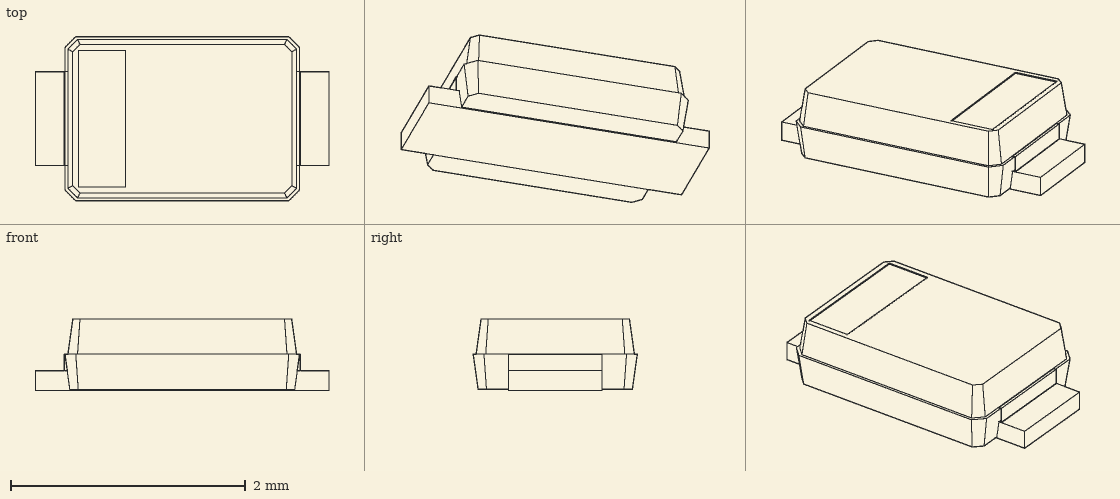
import cadquery as cq
import math

total_length = 2.5
total_height = 0.61

housing_length = 2.0
housing_width = 1.4
standoff = 0.01
parting_z = (standoff + total_height) / 2
half_height = total_height - parting_z
draft_angle = 8.0
draft_inset = half_height * math.tan(math.radians(draft_angle))
ledge = 0.025
lower_corner = 0.093
upper_corner = 0.083
corner_shrink = draft_inset / 2

mark_margin = 0.05
mark_length = 0.4
mark_depth = 0.01
top_length = housing_length - 2 * (ledge + draft_inset)
top_width = housing_width - 2 * (ledge + draft_inset)

lead_width = 0.8
bar_height = 0.17
strap_gap = 0.0025
strap_thickness = 0.005
strap_bend_radius = 0.0075
strap_outer_x = housing_length / 2 + strap_gap + strap_thickness
strap_end_x = housing_length / 2 - ledge


def cut_corner_outline(length, width, corner):
    """Points of a rectangle about the origin with its four corners cut at 45 degrees."""
    x = length / 2
    y = width / 2
    return [
        (x - corner, -y), (x, corner - y), (x, y - corner), (x - corner, y),
        (corner - x, y), (-x, y - corner), (-x, corner - y), (corner - x, -y),
    ]


def drafted_half(length, width, corner, height):
    """Block on the parting plane that narrows away from it; a negative height goes down."""
    base = cut_corner_outline(length, width, corner)
    end = cut_corner_outline(length - 2 * draft_inset, width - 2 * draft_inset, corner - corner_shrink)
    return (
        cq.Workplane("XY", origin=(0, 0, parting_z))
        .polyline(base).close()
        .workplane(offset=height)
        .polyline(end).close()
        .loft(ruled=True)
    )


def mark_recess():
    return cq.Workplane("XY").box(
        mark_length, top_width - 2 * mark_margin, mark_depth, centered=(False, True, False)
    ).translate((mark_margin - top_length / 2, 0, total_height - mark_depth))


def make_strap():
    """Strap at the +X end: up from the underside, then bent inward flush with the parting ledge."""
    bend_x = strap_outer_x - strap_bend_radius
    bend_z = parting_z - strap_bend_radius
    inner_radius = strap_bend_radius - strap_thickness
    outer_mid = strap_bend_radius * math.sqrt(0.5)
    inner_mid = inner_radius * math.sqrt(0.5)
    return (
        cq.Workplane("XZ")
        .moveTo(strap_outer_x, 0)
        .lineTo(strap_outer_x, bend_z)
        .threePointArc((bend_x + outer_mid, bend_z + outer_mid), (bend_x, parting_z))
        .lineTo(strap_end_x, parting_z)
        .lineTo(strap_end_x, parting_z - strap_thickness)
        .lineTo(bend_x, parting_z - strap_thickness)
        .threePointArc((bend_x + inner_mid, bend_z + inner_mid), (bend_x + inner_radius, bend_z))
        .lineTo(bend_x + inner_radius, 0)
        .close()
        .extrude(lead_width / 2, both=True)
    )


def make_lead():
    lead = cq.Workplane("XY").box(total_length, lead_width, bar_height, centered=(True, True, False))
    strap = make_strap()
    for end_strap in (strap, strap.mirror("YZ")):
        lead = lead.union(end_strap, clean=False)
    return lead


def make_housing(lead):
    """Housing with the polarity mark, cut to fit around the lead."""
    lower = drafted_half(housing_length, housing_width, lower_corner, -half_height)
    upper = drafted_half(housing_length - 2 * ledge, housing_width - 2 * ledge, upper_corner, half_height)
    return lower.union(upper).cut(mark_recess()).cut(lead)


lead = make_lead()
housing = make_housing(lead)

result = cq.Compound.makeCompound([housing.val(), lead.val()])